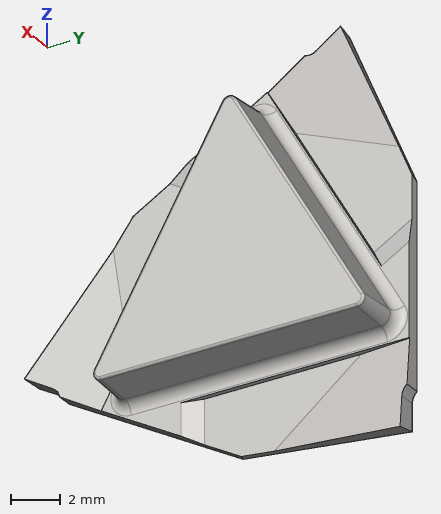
import cadquery as cq
import math

total_depth = 3.0
land_height = 0.63
tip_height = 0.95
pocket_height = 0.4

side_offset = 7.12
side_start = 3.2
side_end = -6.74
notch_end = -7.21
tip_y = 6.89
tip_z = -8.67
end_relief = 10.0

ramp_slope = 0.12
tip_radius = math.hypot(tip_y, tip_z)
tip_angle = math.degrees(math.atan2(tip_z, tip_y))

pocket_inner = 4.55
pocket_floor_end = -2.73
pocket_back_end = -3.72

boss_inradius = 3.99
boss_corner = 0.47
boss_draft = 3.0
root_fillet = 0.51
rim_fillet = 0.11

reach = 15.18
third_turns = (0, 120, 240)


def turn(body, angle):
    """Rotate a body about the part axis (X)."""
    return body.rotate((0, 0, 0), (1, 0, 0), angle)


def turned_point(point, angle):
    a = math.radians(angle)
    y, z = point
    return (y * math.cos(a) - z * math.sin(a), y * math.sin(a) + z * math.cos(a))


def prism_along_z(points):
    """Extrude an (X, Y) profile to both sides of the XY plane."""
    return cq.Workplane("XY").polyline(points).close().extrude(reach, both=True)


def outline_prism(height):
    step = side_offset - tip_y
    length = side_end - notch_end
    radius = (length**2 + step**2) / (2 * step)
    half_sweep = math.atan2(step, length)
    notch_middle = (
        tip_y + radius * (1 - math.cos(half_sweep)),
        notch_end + radius * math.sin(half_sweep),
    )
    outline = cq.Workplane("YZ").moveTo(side_offset, side_start)
    for angle in third_turns:
        outline = (
            outline.lineTo(*turned_point((side_offset, side_end), -angle))
            .threePointArc(
                turned_point(notch_middle, -angle),
                turned_point((tip_y, notch_end), -angle),
            )
            .lineTo(*turned_point((tip_y, tip_z), -angle))
        )
        if angle != third_turns[-1]:
            outline = outline.lineTo(*turned_point((side_offset, side_start), -angle - 120))
    return outline.close().extrude(height)


def end_trim():
    """Wedge that undercuts the end face running from one tip to the next side."""
    start_y, start_z = turned_point((side_offset, side_start), -120)
    run_y = tip_y - start_y
    run_z = tip_z - start_z
    normal_angle = math.degrees(math.atan2(-run_y, run_z))
    normal = math.radians(normal_angle)
    offset = tip_y * math.cos(normal) + tip_z * math.sin(normal)
    inset = tip_height * math.tan(math.radians(end_relief))
    wedge = prism_along_z([(0, offset - inset), (tip_height, offset), (0, offset + inset)])
    return turn(wedge, normal_angle)


def tip_ramp():
    """Wedge above the land, rising toward one tip."""
    start = tip_radius - (tip_height - land_height) / ramp_slope
    peak = land_height + ramp_slope * (reach - start)
    wedge = prism_along_z([(0, start), (land_height, start), (peak, reach), (0, reach)])
    return turn(wedge, tip_angle)


def edge_pocket():
    """Depression beyond the lower boss side, between a tip ramp and a back slope."""
    floor_start = tip_radius - (tip_height - pocket_height) / ramp_slope
    land_start = tip_radius - (tip_height - land_height) / ramp_slope
    ramp_side = turn(
        prism_along_z([
            (land_height, -reach), (pocket_height, -reach),
            (pocket_height, floor_start), (land_height, land_start),
        ]),
        tip_angle,
    )
    back_side = (
        cq.Workplane("XY")
        .workplane(offset=-reach)
        .polyline([
            (land_height, pocket_back_end), (pocket_height, pocket_floor_end),
            (pocket_height, reach), (land_height, reach),
        ])
        .close()
        .extrude(reach - pocket_inner)
    )
    return ramp_side.intersect(back_side)


def make_boss():
    sharp_radius = 2 * boss_inradius
    corners = [turned_point((0, sharp_radius), angle) for angle in third_turns]
    sketch = cq.Sketch().polygon(corners + corners[:1]).vertices().fillet(boss_corner)
    return (
        cq.Workplane("YZ").workplane(offset=land_height)
        .placeSketch(sketch)
        .extrude(total_depth - land_height, taper=boss_draft)
        .faces(">X").edges().fillet(rim_fillet)
    )


plate = outline_prism(land_height).union(make_boss())
boss_reach = 2 * boss_inradius
root_edges = cq.selectors.BoxSelector(
    (0.9 * land_height, -boss_reach, -pocket_inner),
    (1.1 * land_height, boss_reach, boss_reach),
    boundingbox=True,
)
plate = plate.edges(root_edges).fillet(root_fillet)

tip_blank = outline_prism(tip_height)
for angle in third_turns:
    plate = plate.union(tip_blank.intersect(turn(tip_ramp(), angle)))
for angle in third_turns:
    plate = plate.cut(turn(edge_pocket(), angle))
    plate = plate.cut(turn(end_trim(), angle))

result = plate